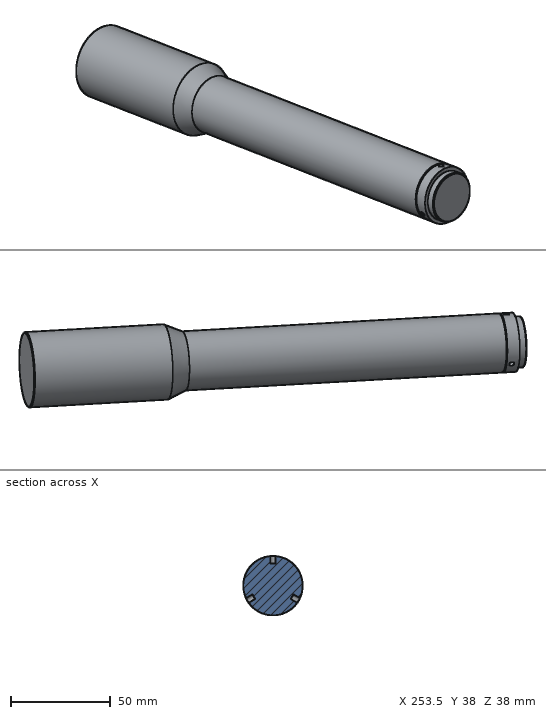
import cadquery as cq
import math

length = 253.5

head_diameter = 38.0
barrel_diameter = 30.0
spigot_diameter = 25.9

head_length = 71.0
taper_length = 9.5
spigot_length = 4.0
collar_length = 6.3

head_chamfer = 0.5
spigot_chamfer = 0.5

groove_width = 0.5
groove_depth = 0.3

hole_count = 3
hole_diameter = 2.5
hole_depth = 3.8
hole_setback = 3.8
first_hole_angle = math.pi / 2

head_face = -length / 2
taper_start = head_face + head_length
taper_end = taper_start + taper_length
spigot_face = length / 2
collar_face = spigot_face - spigot_length
groove_end = collar_face - collar_length
groove_start = groove_end - groove_width


def turned_body():
    """Solid of revolution about X, with its half profile on the -Y side."""
    head_radius = head_diameter / 2
    barrel_radius = barrel_diameter / 2
    groove_radius = barrel_radius - groove_depth
    spigot_radius = spigot_diameter / 2
    return (
        cq.Workplane("XY")
        .moveTo(head_face, 0)
        .lineTo(head_face, -head_radius + head_chamfer)
        .lineTo(head_face + head_chamfer, -head_radius)
        .lineTo(taper_start, -head_radius)
        .lineTo(taper_end, -barrel_radius)
        .lineTo(groove_start, -barrel_radius)
        .lineTo(groove_start, -groove_radius)
        .lineTo(groove_end, -groove_radius)
        .lineTo(groove_end, -barrel_radius)
        .lineTo(collar_face, -barrel_radius)
        .lineTo(collar_face, -spigot_radius)
        .lineTo(spigot_face - spigot_chamfer, -spigot_radius)
        .lineTo(spigot_face, -spigot_radius + spigot_chamfer)
        .lineTo(spigot_face, 0)
        .close()
        .revolve(360, (0, 0, 0), (1, 0, 0))
    )


def screw_hole(angle):
    """Blind radial hole drilled inwards at an angle about X, measured from +Y towards +Z."""
    outward = cq.Vector(0, math.cos(angle), math.sin(angle))
    floor_radius = barrel_diameter / 2 - hole_depth
    floor_centre = cq.Vector(collar_face - hole_setback, 0, 0) + outward * floor_radius
    drill_length = 2 * hole_depth
    return cq.Workplane(cq.Solid.makeCylinder(hole_diameter / 2, drill_length, floor_centre, outward))


result = turned_body()
for index in range(hole_count):
    result = result.cut(screw_hole(first_hole_angle + index * 2 * math.pi / hole_count))